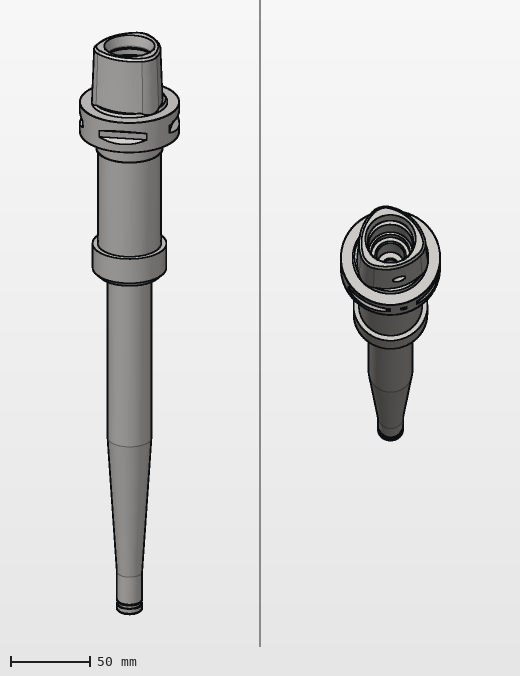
import cadquery as cq
import math

TOTAL_HEIGHT = 394.0
FLANGE_TOP = 355.0
FLANGE_BOTTOM = 334.0
COLLAR_BOTTOM = 322.0
NUT_TOP = 256.0
NUT_BOTTOM = 235.5
TAPER_TOP = 120.5
TAPER_BOTTOM = 26.8

FLANGE_DIAMETER = 63.0
FLANGE_CHAMFER = 0.2
COLLAR_DIAMETER = 42.0
COLLAR_CHAMFER = 0.6
BODY_DIAMETER = 40.0
NUT_DIAMETER = 47.0
ROD_DIAMETER = 28.0
NOSE_DIAMETER = 16.0
NUT_CHAMFER = 3.5
NOSE_CHAMFER = 1.0

NOSE_GROOVE_DIAMETER = 14.5
NOSE_GROOVE_WIDTH = 2.0
NOSE_GROOVE_BOTTOM = 4.5
NOSE_GROOVE_SLOPE = 1.0

SHANK_WIDTH = 45.0
LOBE_OFFSET = 11.0
LOBE_SPACING = LOBE_OFFSET * math.sqrt(3)
LOBE_RADIUS = (SHANK_WIDTH - LOBE_SPACING) / 2
WIDE_RADIUS = LOBE_RADIUS + LOBE_SPACING
SHANK_TOP_WIDTH = 42.0
SHANK_CHAMFER = 1.5

SEAT_BOTTOM_DIAMETER = 48.0
SEAT_TOP_DIAMETER = 45.7
SEAT_HEIGHT = 2.0

MOUTH_DIAMETER = 32.0
LIP_DIAMETER = 29.0
LIP_DEPTH = 6.7
LIP_HEIGHT = 1.0
GROOVE_DIAMETER = 33.0
GROOVE_FLANK_HEIGHT = 2.0
GROOVE_DEPTH = 13.8
GUIDE_DIAMETER = 28.0
GUIDE_DEPTH = 29.5
MAIN_BORE_DIAMETER = 25.0
MAIN_BORE_DEPTH = 35.5
SCREW_BORE_DIAMETER = 17.7
SCREW_BORE_DEPTH = 55.0
SCREW_BORE_CHAMFER = 1.0
COUNTERSINK_DIAMETER = 10.0
COOLANT_BORE_DIAMETER = 8.3

SHANK_HOLE_DIAMETER = 8.3
SHANK_HOLE_HEIGHT = 371.5
MARK_HOLE_DIAMETER = 4.0
MARK_HOLE_DEPTH = 2.0

SLOT_COUNT = 4
FIRST_SLOT_ANGLE = 45
SLOT_HEIGHT = 344.5
SLOT_FLOOR_DISTANCE = 27.5
SLOT_FLOOR_WIDTH = 4.5
SLOT_MOUTH_WIDTH = 9.0


def revolve_profile(points):
    """Turn a closed (radius, height) outline about the Z axis."""
    return cq.Workplane("XZ").polyline(points).close().revolve(360, (0, 0, 0), (0, 1, 0))


def turned_body():
    """Nose, taper, rod, nut, collar and flange as one turned outline."""
    groove_top = NOSE_GROOVE_BOTTOM + NOSE_GROOVE_WIDTH
    nose_radius = NOSE_DIAMETER / 2
    return revolve_profile([
        (0, 0),
        (nose_radius - NOSE_CHAMFER, 0),
        (nose_radius, NOSE_CHAMFER),
        (nose_radius, NOSE_GROOVE_BOTTOM),
        (NOSE_GROOVE_DIAMETER / 2, NOSE_GROOVE_BOTTOM),
        (NOSE_GROOVE_DIAMETER / 2, groove_top),
        (nose_radius, groove_top + NOSE_GROOVE_SLOPE),
        (nose_radius, TAPER_BOTTOM),
        (ROD_DIAMETER / 2, TAPER_TOP),
        (ROD_DIAMETER / 2, NUT_BOTTOM),
        (NUT_DIAMETER / 2 - NUT_CHAMFER, NUT_BOTTOM),
        (NUT_DIAMETER / 2, NUT_BOTTOM + NUT_CHAMFER),
        (NUT_DIAMETER / 2, NUT_TOP),
        (BODY_DIAMETER / 2, NUT_TOP),
        (BODY_DIAMETER / 2, COLLAR_BOTTOM),
        (COLLAR_DIAMETER / 2 - COLLAR_CHAMFER, COLLAR_BOTTOM),
        (COLLAR_DIAMETER / 2, COLLAR_BOTTOM + COLLAR_CHAMFER),
        (COLLAR_DIAMETER / 2, FLANGE_BOTTOM),
        (FLANGE_DIAMETER / 2 - FLANGE_CHAMFER, FLANGE_BOTTOM),
        (FLANGE_DIAMETER / 2, FLANGE_BOTTOM + FLANGE_CHAMFER),
        (FLANGE_DIAMETER / 2, FLANGE_TOP - FLANGE_CHAMFER),
        (FLANGE_DIAMETER / 2 - FLANGE_CHAMFER, FLANGE_TOP),
        (SEAT_BOTTOM_DIAMETER / 2, FLANGE_TOP),
        (SEAT_TOP_DIAMETER / 2, FLANGE_TOP + SEAT_HEIGHT),
        (0, FLANGE_TOP + SEAT_HEIGHT),
    ])


def polar(center, radius, angle):
    """Point at a distance and an angle in degrees from a centre."""
    turn = math.radians(angle)
    return (center[0] + radius * math.cos(turn), center[1] + radius * math.sin(turn))


def shank_outline(height, inset):
    """Constant-width outline: each lobe faces a wide arc struck from the same centre.

    The six arcs span 60 degrees each, so they join 30 degrees either side of a lobe.
    """
    lobe_radius = LOBE_RADIUS - inset
    wide_radius = WIDE_RADIUS - inset
    outline = cq.Workplane("XY", origin=(0, 0, height))
    outline = outline.moveTo(*polar((LOBE_OFFSET, 0), lobe_radius, -30))
    for lobe_angle in (0, 120, 240):
        lobe_center = polar((0, 0), LOBE_OFFSET, lobe_angle)
        wide_center = polar((0, 0), LOBE_OFFSET, lobe_angle + 240)
        outline = outline.threePointArc(
            polar(lobe_center, lobe_radius, lobe_angle),
            polar(lobe_center, lobe_radius, lobe_angle + 30),
        )
        outline = outline.threePointArc(
            polar(wide_center, wide_radius, lobe_angle + 60),
            polar(wide_center, wide_radius, lobe_angle + 90),
        )
    return outline.wire().val()


def shank():
    """Long taper and chamfered rim, stacked from three outlines."""
    taper_inset = (SHANK_WIDTH - SHANK_TOP_WIDTH) / 2
    outlines = [
        shank_outline(FLANGE_TOP, 0),
        shank_outline(TOTAL_HEIGHT - SHANK_CHAMFER, taper_inset),
        shank_outline(TOTAL_HEIGHT, taper_inset + SHANK_CHAMFER),
    ]
    return cq.Workplane(cq.Solid.makeLoft(outlines, True))


def stepped_bore():
    """Undercut mouth, narrowing in steps to the through coolant bore."""
    countersink_depth = (COUNTERSINK_DIAMETER - COOLANT_BORE_DIAMETER) / 2
    screw_floor = TOTAL_HEIGHT - SCREW_BORE_DEPTH
    main_floor = TOTAL_HEIGHT - MAIN_BORE_DEPTH
    groove_floor = TOTAL_HEIGHT - GROOVE_DEPTH
    guide_floor = TOTAL_HEIGHT - GUIDE_DEPTH
    lip_top = TOTAL_HEIGHT - LIP_DEPTH
    lip_bottom = lip_top - LIP_HEIGHT
    return revolve_profile([
        (0, 0),
        (COOLANT_BORE_DIAMETER / 2, 0),
        (COOLANT_BORE_DIAMETER / 2, screw_floor - countersink_depth),
        (COUNTERSINK_DIAMETER / 2, screw_floor),
        (SCREW_BORE_DIAMETER / 2, screw_floor),
        (SCREW_BORE_DIAMETER / 2, main_floor - SCREW_BORE_CHAMFER),
        (SCREW_BORE_DIAMETER / 2 + SCREW_BORE_CHAMFER, main_floor),
        (MAIN_BORE_DIAMETER / 2, main_floor),
        (MAIN_BORE_DIAMETER / 2, guide_floor),
        (GUIDE_DIAMETER / 2, guide_floor),
        (GUIDE_DIAMETER / 2, groove_floor),
        (GROOVE_DIAMETER / 2, groove_floor),
        (GROOVE_DIAMETER / 2, lip_bottom - GROOVE_FLANK_HEIGHT),
        (LIP_DIAMETER / 2, lip_bottom),
        (LIP_DIAMETER / 2, lip_top),
        (MOUTH_DIAMETER / 2, TOTAL_HEIGHT),
        (0, TOTAL_HEIGHT),
    ])


def side_hole(diameter, height, depth):
    """Cylinder running toward +X, its depth counted from the flange rim on the -X side."""
    plane = cq.Workplane("YZ", origin=(-FLANGE_DIAMETER / 2, 0, height))
    return plane.circle(diameter / 2).extrude(depth)


def gripper_slots():
    """Straight trapezoidal slots across the flange rim."""
    rim = FLANGE_DIAMETER / 2
    profile = [
        (SLOT_FLOOR_DISTANCE, -SLOT_FLOOR_WIDTH / 2),
        (rim, -SLOT_MOUTH_WIDTH / 2),
        (rim, SLOT_MOUTH_WIDTH / 2),
        (SLOT_FLOOR_DISTANCE, SLOT_FLOOR_WIDTH / 2),
    ]
    cutter = cq.Workplane("XZ", origin=(0, 0, SLOT_HEIGHT)).polyline(profile).close()
    cutter = cutter.extrude(rim, both=True)
    slots = cq.Workplane("XY")
    for i in range(SLOT_COUNT):
        angle = FIRST_SLOT_ANGLE + i * 360 / SLOT_COUNT
        slots = slots.add(cutter.rotate((0, 0, 0), (0, 0, 1), angle))
    return slots.combine()


result = turned_body().union(shank()).cut(stepped_bore())
result = result.cut(side_hole(SHANK_HOLE_DIAMETER, SHANK_HOLE_HEIGHT, FLANGE_DIAMETER / 2))
result = result.cut(side_hole(MARK_HOLE_DIAMETER, SLOT_HEIGHT, MARK_HOLE_DEPTH))
result = result.cut(gripper_slots())